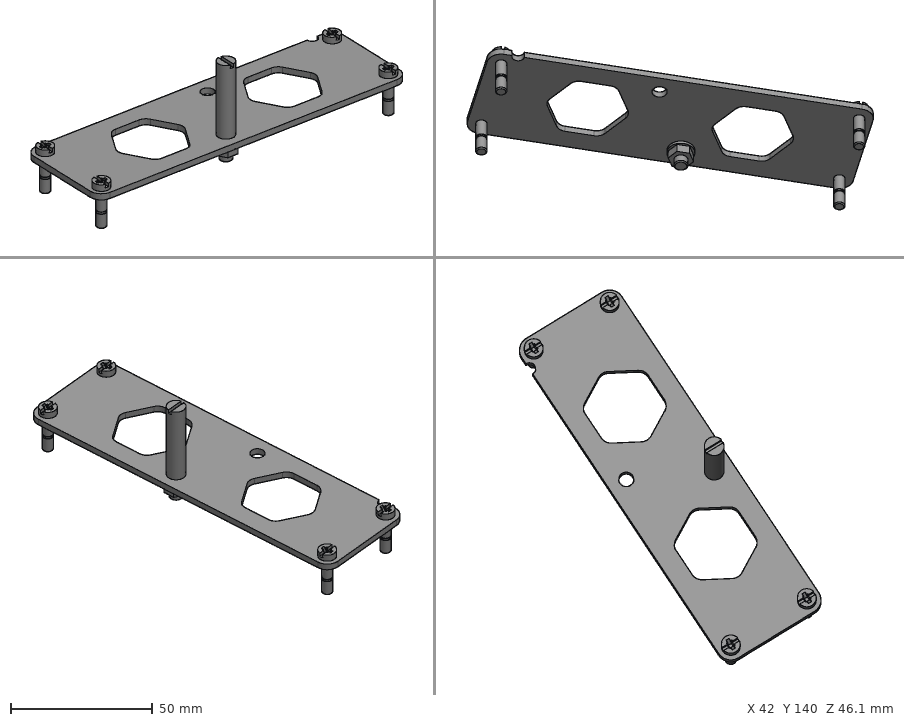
import cadquery as cq
import math

plate_width = 42.0
plate_length = 140.0
plate_thickness = 2.5
plate_corner_radius = 5.0

hex_across_flats = 26.5
hex_corner_radius = 4.0
hex_offset_y = 30.0
notch_diameter = 4.5
notch_y = 59.9
hole_diameter = 5.3
hole_x = -14.0
hole_y = 7.0

screw_x = 16.0
screw_y = 65.0
head_diameter = 6.7
head_height = 2.7
slot_width = 1.3
slot_depth = 1.4
shank_diameter = 4.0
shank_length = 13.6
neck_diameter = 3.6
neck_start = 6.7
neck_length = 0.8
tip_chamfer = 0.4

recess_wing_length = 4.2
recess_core_width = 2.2
recess_floor_width = 1.3
recess_depth = 2.0

post_x = -hole_x
post_y = -hole_y
post_diameter = 7.0
post_height = 30.0
washer_diameter = 10.0
washer_thickness = 1.1
nut_across_flats = 8.0
nut_height = 3.4
stud_diameter = 5.0
stud_length = 7.5


def hexagon_prism(across_flats, bottom_z, height):
    """Hexagonal prism on the Z axis with two of its corners on the Y axis."""
    across_corners = across_flats / math.cos(math.pi / 6)
    prism = cq.Workplane("XY").workplane(offset=bottom_z).polygon(6, across_corners).extrude(height)
    return prism.rotate((0, 0, 0), (0, 0, 1), 90)


def cylinder(diameter, bottom_z, top_z):
    """Cylinder on the Z axis between two heights."""
    return cq.Workplane("XY").workplane(offset=bottom_z).circle(diameter / 2).extrude(top_z - bottom_z)


def cut_driver_slot(body, diameter, top_z):
    """Cut a screwdriver slot along X across the top of a round body."""
    slot = cq.Workplane("XY").workplane(offset=top_z - slot_depth).rect(diameter * 2, slot_width)
    return body.cut(slot.extrude(slot_depth))


def tapered_recess(length_x, length_y, top_z):
    """Rectangular pocket that narrows to a small square floor."""
    return (
        cq.Workplane("XY")
        .workplane(offset=top_z)
        .rect(length_x, length_y)
        .workplane(offset=-recess_depth)
        .rect(recess_floor_width, recess_floor_width)
        .loft()
    )


def make_plate():
    plate = cq.Workplane("XY").rect(plate_width, plate_length).extrude(plate_thickness)
    plate = plate.edges("|Z").fillet(plate_corner_radius)

    hex_opening = hexagon_prism(hex_across_flats, 0, plate_thickness).edges("|Z").fillet(hex_corner_radius)
    for side in (-1, 1):
        plate = plate.cut(hex_opening.translate((0, side * hex_offset_y, 0)))

    notch = cylinder(notch_diameter, 0, plate_thickness)
    plate = plate.cut(notch.translate((-plate_width / 2, notch_y, 0)))

    hole = cylinder(hole_diameter, 0, plate_thickness)
    return plate.cut(hole.translate((hole_x, hole_y, 0)))


def make_screw():
    top_z = plate_thickness + head_height
    neck_end = neck_start + neck_length

    head = cut_driver_slot(cylinder(head_diameter, plate_thickness, top_z), head_diameter, top_z)
    head = head.cut(tapered_recess(recess_wing_length, recess_floor_width, top_z))
    head = head.cut(tapered_recess(recess_floor_width, recess_wing_length, top_z))
    head = head.cut(tapered_recess(recess_core_width, recess_core_width, top_z))

    upper_shank = cylinder(shank_diameter, -neck_start, plate_thickness)
    neck = cylinder(neck_diameter, -neck_end, -neck_start)
    tip = cylinder(shank_diameter, -shank_length, -neck_end).faces("<Z").chamfer(tip_chamfer)
    return head.union(upper_shank).union(neck).union(tip)


def make_post():
    top_z = plate_thickness + post_height

    post = cut_driver_slot(cylinder(post_diameter, plate_thickness, top_z), post_diameter, top_z)
    stud = cylinder(stud_diameter, -stud_length, plate_thickness).faces("<Z").chamfer(tip_chamfer)
    washer = cylinder(washer_diameter, -washer_thickness, 0)
    nut = hexagon_prism(nut_across_flats, -washer_thickness - nut_height, nut_height)
    return post.union(stud).union(washer).union(nut)


result = make_plate()
screw = make_screw()
for side_x in (-1, 1):
    for side_y in (-1, 1):
        result = result.union(screw.translate((side_x * screw_x, side_y * screw_y, 0)))
result = result.union(make_post().translate((post_x, post_y, 0)))